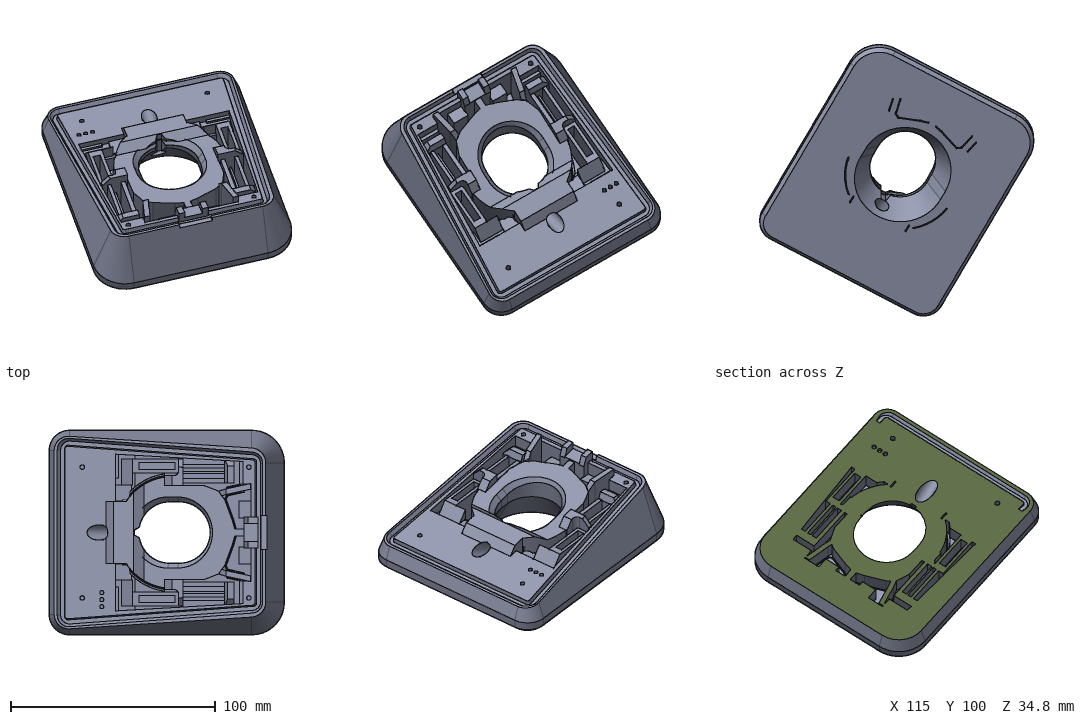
import cadquery as cq
import math

LENGTH = 115.0
WIDTH = 100.0
FRONT_CORNER_R = 10.0
REAR_CORNER_R = 16.0
SKIRT_TOP = 6.0
BASE_CHAMFER = 1.8
WALL_ANGLE = 20.0
WALL_DRAFT = math.tan(math.radians(WALL_ANGLE))
SHELL_TOP = 33.4

TILT = 10.0
SLOPE_START = 12.4
RISE = math.tan(math.radians(TILT))
COS_TILT = math.cos(math.radians(TILT))
SIN_TILT = math.sin(math.radians(TILT))

RIM_WIDTH = 1.5
RIM_CORNER_R = 5.8
GROOVE_DEPTH = 2.1
GROOVE_WALL_DRAFT = 33.0
PLATE_INSET = 4.8
PLATE_CORNER_R = 1.7
PLATE_DRAFT = 15.0

POCKET_FRONT = 32.4
POCKET_REAR = 94.8
POCKET_FRONT_HALF = 38.3
POCKET_REAR_HALF = 34.7
BAY_REAR = 98.7
BAY_HALF = 23.7
FLOOR_Z = 4.6
SHELF_Z = 13.8
SHELF_END = 42.0
SHELF_STEP_X = 33.8
SHELF_STEP_SPAN = (26.6, 38.3)
PAD_Z = 15.0
PAD_END = 40.2
PAD_SPAN = (15.3, 23.1)
CORNER_STEP_X = 93.2
CORNER_STEP_Z = 23.0
LEDGE_FRONT = 92.8
LEDGE_Z = 23.0
LEDGE_SPAN = (7.1, 15.3)
FRONT_BLOCK_X = (35.4, 40.7)
FRONT_BLOCK_SPAN = (23.1, 35.9)
FRONT_BLOCK_TOP = 20.7
FRONT_BAR_ENDS = ((40.7, 44.0), (61.4, 65.5))
FRONT_BAR_SPAN = (29.0, 35.9)
FRONT_RAIL_SPANS = ((29.0, 30.7), (34.3, 35.9))
REAR_BLOCK_X = (85.8, 90.4)
REAR_BLOCK_SPAN = (24.3, 35.3)
REAR_BLOCK_TOP = 26.5
REAR_BLOCK_CHAMFER = 2.9
REAR_BLOCK_RAMP = (3.5, 1.5)
REAR_RAIL_SPANS = ((24.3, 26.5), (31.5, 33.2))
REAR_RAIL_TOP = 23.3
LOW_RAIL_SPAN = (28.8, 29.8)
LOW_RAIL_TOP = 16.1

RING_X = 60.5
RING_R = 27.5
RING_HALF = 23.0
LUG_HEIGHT = 3.8
LUG_RUN = 3.7
NOSE_FRONT = 27.8
NOSE_TOP_END = 41.3
NOSE_END = 46.3
NOSE_HALF = 15.2
EAR_FRONT = 56.4
EAR_NECK_FRONT = 63.2
EAR_REAR = 65.5
EAR_SHOULDER = 27.8
EAR_TIP = 35.9
EAR_NECK_R = 2.3
EAR_TIP_DROP = 4.1
SPOKE_FRONT = 82.8
SPOKE_REAR = 98.3
RING_SHOULDER = (SPOKE_FRONT, 20.2)
RING_FACETS = ((75.7, RING_HALF), RING_SHOULDER, (85.8, 16.1), (89.6, 5.9))
SPOKE_PLAN = (
    RING_SHOULDER, (86.6, 21.4), (SPOKE_REAR, 23.9), (SPOKE_REAR, 21.2), (86.8, 18.6), (84.3, 17.9),
)
CLIP_FRONT = 95.3
CLIP_REAR = 102.0
CLIP_HALF = 7.5
CLIP_HEIGHT = 4.3
CLIP_RUN = 1.8
SADDLE_HALF = 4.5
SADDLE_HEIGHT = 0.7
NECK_HALF = 1.7
NECK_FRONT = 90.7

BORE_X = 61.3
MOUTH_X = 60.4
BORE_HALF_LENGTH = 17.4
BORE_HALF_WIDTH = 15.0
MOUTH_FLARE = 2.4
MOUTH_DEPTH = 3.1
BELL_TOP = 15.0
BELL_FLARE = 7.5
SLIT = 0.52
SLIT_TOP = 17.2
ARC_SLIT_FRONT = 39.5
NOSE_SLIT = ((36.2, 15.5), (ARC_SLIT_FRONT, 15.5))
SPOKE_SLIT = ((87.2, 22.0), (93.2, 23.2))
REAR_SLIT_PATH = ((95.0, 20.0), (87.3, 18.3), (86.1, 16.3), (89.9, 6.0), (91.0, 2.2))
TRENCH_R = 29.0
TRENCH_Z = 2.9
CABLE_R = 3.7
CABLE_PITCH = 30.0
CABLE_ENTRY = (24.8, 16.3)
CABLE_LENGTH = 32.2
CABLE_LEAD = 6.9
CABLE_NOTCH_X = (41.6, 44.4)
CABLE_NOTCH_HALVES = (1.2, 2.8)
SCREW_R = 1.09
SCREW_X = (16.2, 97.6)
SCREW_Y = 32.0
HOLE_DEPTH = 5.8
LED_R = 0.98
LED_X = 25.8
LED_Y = (-29.3, -32.8, -36.2)
NOTCH_HALF = 8.3
NOTCH_DEPTH = 1.7


def slope_z(x, above=0.0):
    """Height of the sloping face at x, raised by a distance normal to the face."""
    return SLOPE_START + x * RISE + above / COS_TILT


def tilted(above=0.0):
    """Workplane on the sloping face; its x axis climbs the slope."""
    origin = (-above * SIN_TILT, 0, SLOPE_START + above * COS_TILT)
    plane = cq.Plane(origin=origin, xDir=(COS_TILT, 0, SIN_TILT), normal=(-SIN_TILT, 0, COS_TILT))
    return cq.Workplane(plane)


def box(x_range, y_range, z_range):
    """Box between the given limits."""
    size = [b - a for a, b in (x_range, y_range, z_range)]
    return cq.Workplane("XY").box(*size, centered=False).translate((x_range[0], y_range[0], z_range[0]))


def both_sides(solid):
    """The solid together with its mirror image across Y = 0."""
    return solid.union(solid.mirror("XZ"))


def side_profile(points, half):
    """Prism of an XZ outline, running from -half to half along Y."""
    return cq.Workplane("XZ").polyline(points).close().extrude(half, both=True)


def upright(points, bottom, top):
    """Vertical prism of a plan outline."""
    return cq.Workplane("XY", origin=(0, 0, bottom)).polyline(points).close().extrude(top - bottom)


def below_slope(above=0.0):
    """Everything below the sloping face raised by `above`."""
    points = [(0, 0), (LENGTH, 0), (LENGTH, slope_z(LENGTH, above)), (0, slope_z(0, above))]
    return side_profile(points, WIDTH)


def lug_profile(front, rear, height, run):
    """Lug outline: ramp of length `run` up from the slope, top parallel to it, upright back."""
    points = [
        (front, FLOOR_Z),
        (front, slope_z(front)),
        (front + run, slope_z(front + run, height)),
        (rear, slope_z(rear, height)),
        (rear, FLOOR_Z),
    ]
    return side_profile(points, WIDTH / 2)


def make_shell():
    """Rounded base with a chamfered foot and drafted walls, cut off along the slope."""
    skirt = cq.Workplane("XY").rect(LENGTH, WIDTH).extrude(SKIRT_TOP).translate((LENGTH / 2, 0, 0))
    skirt = skirt.edges("|Z and <X").fillet(FRONT_CORNER_R).edges("|Z and >X").fillet(REAR_CORNER_R)
    rise = SHELL_TOP - SKIRT_TOP
    wall = skirt.faces(">Z").wires().toPending().extrude(rise, taper=WALL_ANGLE, combine=False)
    skirt = skirt.faces("<Z").chamfer(BASE_CHAMFER)
    return skirt.union(wall).intersect(below_slope())


def slope_outline(inset, radius, above=0.0):
    """Outline of the sloping face moved inwards, with corners rounded, as a pending wire."""
    def crossing(end_x, direction):
        """X and half width where the drafted end wall meets the slope."""
        lift = (slope_z(end_x) - SKIRT_TOP) / (1 - direction * RISE * WALL_DRAFT)
        return end_x + direction * lift * WALL_DRAFT, WIDTH / 2 - lift * WALL_DRAFT

    front_x, front_half = crossing(0, 1)
    rear_x, rear_half = crossing(LENGTH, -1)
    shrink = inset + radius
    front_u = front_x / COS_TILT + shrink
    rear_u = rear_x / COS_TILT - shrink
    front_half -= shrink
    rear_half -= shrink
    points = [(front_u, -front_half), (rear_u, -rear_half), (rear_u, rear_half), (front_u, front_half)]
    return tilted(above).polyline(points).close().offset2D(radius)


def cut_rim(body):
    """Sink the slope inside the rim, leaving the plate standing in a shallow groove."""
    recess = slope_outline(RIM_WIDTH, RIM_CORNER_R).extrude(-GROOVE_DEPTH, taper=GROOVE_WALL_DRAFT)
    plate = slope_outline(PLATE_INSET, PLATE_CORNER_R, -GROOVE_DEPTH).extrude(GROOVE_DEPTH, taper=PLATE_DRAFT)
    return body.cut(recess).union(plate)


def cut_pocket(body):
    """Deep pocket with a stepped shelf along its front and a narrower bay at the rear."""
    plan = [
        (POCKET_FRONT, -POCKET_FRONT_HALF), (POCKET_REAR, -POCKET_REAR_HALF),
        (POCKET_REAR, POCKET_REAR_HALF), (POCKET_FRONT, POCKET_FRONT_HALF),
    ]
    pocket = upright(plan, FLOOR_Z, SHELL_TOP)
    pocket = pocket.union(box((POCKET_FRONT, BAY_REAR), (-BAY_HALF, BAY_HALF), (FLOOR_Z, SHELL_TOP)))
    shelf = box((POCKET_FRONT, SHELF_END), (-POCKET_FRONT_HALF, POCKET_FRONT_HALF), (FLOOR_Z, SHELF_Z))
    step = box((POCKET_FRONT, SHELF_STEP_X), SHELF_STEP_SPAN, (FLOOR_Z, PAD_Z))
    pad = box((POCKET_FRONT, PAD_END), PAD_SPAN, (FLOOR_Z, PAD_Z))
    ledge = box((LEDGE_FRONT, BAY_REAR), LEDGE_SPAN, (FLOOR_Z, LEDGE_Z))
    corner = box((CORNER_STEP_X, POCKET_REAR), (BAY_HALF, POCKET_FRONT_HALF), (FLOOR_Z, CORNER_STEP_Z))
    pocket = pocket.cut(shelf)
    for raised_step in (step, pad, ledge, corner):
        pocket = pocket.cut(both_sides(raised_step))
    return body.cut(pocket)


def make_rails():
    """Front and rear blocks with the level rails that run from them to the ears."""
    front, back = FRONT_BLOCK_X
    ramp = [(front, SHELF_Z), (back, FRONT_BLOCK_TOP), (back, FLOOR_Z), (front, FLOOR_Z)]
    rails = side_profile(ramp, WIDTH / 2).intersect(
        box(FRONT_BLOCK_X, FRONT_BLOCK_SPAN, (FLOOR_Z, FRONT_BLOCK_TOP)))
    rear_block = box(REAR_BLOCK_X, REAR_BLOCK_SPAN, (FLOOR_Z, REAR_BLOCK_TOP))
    rear_block = rear_block.edges(">Y and >Z").chamfer(REAR_BLOCK_CHAMFER)
    ramp_drop, ramp_run = REAR_BLOCK_RAMP
    ramp_x = REAR_BLOCK_X[0]
    ramp_cut = [
        (ramp_x, REAR_BLOCK_TOP - ramp_drop),
        (ramp_x + ramp_run, REAR_BLOCK_TOP),
        (ramp_x, REAR_BLOCK_TOP),
    ]
    rails = rails.union(rear_block.cut(side_profile(ramp_cut, WIDTH / 2)))
    for span in FRONT_RAIL_SPANS:
        rails = rails.union(box((back, EAR_REAR), span, (FLOOR_Z, FRONT_BLOCK_TOP)))
    for ends in FRONT_BAR_ENDS:
        rails = rails.union(box(ends, FRONT_BAR_SPAN, (FLOOR_Z, FRONT_BLOCK_TOP)))
    rails = rails.union(box((EAR_REAR, REAR_BLOCK_X[0]), LOW_RAIL_SPAN, (FLOOR_Z, LOW_RAIL_TOP)))
    for span in REAR_RAIL_SPANS:
        rails = rails.union(box((EAR_REAR, REAR_BLOCK_X[0]), span, (FLOOR_Z, REAR_RAIL_TOP)))
    return both_sides(rails)


def make_ring():
    """Flat ring, level with the rim, with straight flanks and a faceted rear ending in a neck."""
    disc = cq.Workplane("XY", origin=(RING_X, 0, FLOOR_Z)).circle(RING_R).extrude(SHELL_TOP)
    front = disc.intersect(box((0, EAR_FRONT + LUG_RUN), (-WIDTH, WIDTH), (0, SHELL_TOP)))
    rear_half = [
        (EAR_FRONT, 0), (EAR_FRONT, RING_HALF), *RING_FACETS,
        (NECK_FRONT, NECK_HALF), (CLIP_FRONT, NECK_HALF), (CLIP_FRONT, 0),
    ]
    rear = both_sides(upright(rear_half, FLOOR_Z, SHELL_TOP))
    return front.union(rear).intersect(below_slope())


def make_nose():
    """Wide raised block at the front of the ring, ramped at both ends."""
    points = [
        (NOSE_FRONT, FLOOR_Z),
        (NOSE_FRONT, slope_z(NOSE_FRONT)),
        (NOSE_FRONT + LUG_RUN, slope_z(NOSE_FRONT + LUG_RUN, LUG_HEIGHT)),
        (NOSE_TOP_END, slope_z(NOSE_TOP_END, LUG_HEIGHT)),
        (NOSE_END, slope_z(NOSE_END)),
        (NOSE_END, FLOOR_Z),
    ]
    nose = side_profile(points, NOSE_HALF)
    flank = side_profile(points, RING_R).intersect(
        cq.Workplane("XY", origin=(RING_X, 0, 0)).circle(RING_R).extrude(SHELL_TOP))
    return nose.union(flank)


def make_ears():
    """Side lugs that narrow to a tip sloping down towards the pocket wall."""
    shoulder_x = EAR_NECK_FRONT - EAR_NECK_R
    arc_y = EAR_SHOULDER + EAR_NECK_R
    arc_offset = EAR_NECK_R * math.sqrt(0.5)
    plan = cq.Workplane("XY", origin=(0, 0, FLOOR_Z)).moveTo(EAR_FRONT, RING_HALF)
    plan = plan.lineTo(EAR_REAR, RING_HALF).lineTo(EAR_REAR, EAR_TIP).lineTo(EAR_NECK_FRONT, EAR_TIP)
    plan = plan.lineTo(EAR_NECK_FRONT, arc_y)
    plan = plan.threePointArc((shoulder_x + arc_offset, arc_y - arc_offset), (shoulder_x, EAR_SHOULDER))
    ear = plan.lineTo(EAR_FRONT, EAR_SHOULDER).close().extrude(SHELL_TOP)
    ear = ear.intersect(lug_profile(EAR_FRONT, EAR_REAR, LUG_HEIGHT, LUG_RUN))
    tip_z = slope_z(EAR_REAR, LUG_HEIGHT)
    tip_cut = [(EAR_TIP - EAR_TIP_DROP, tip_z), (EAR_TIP, tip_z - EAR_TIP_DROP), (EAR_TIP, tip_z)]
    wedge = cq.Workplane("YZ").polyline(tip_cut).close().extrude(LENGTH)
    return both_sides(ear.cut(wedge))


def make_spokes():
    """Two slanted lugs running from the ring to the rear corners of the bay."""
    spoke = upright(SPOKE_PLAN, FLOOR_Z, SHELL_TOP + LUG_HEIGHT)
    return both_sides(spoke.intersect(lug_profile(SPOKE_FRONT, SPOKE_REAR, LUG_HEIGHT, LUG_RUN)))


def make_clip():
    """Rear catch: two horns beside a low saddle."""
    band = box((0, LENGTH), (-CLIP_HALF, CLIP_HALF), (0, LENGTH))
    gap = box((0, LENGTH), (-SADDLE_HALF, SADDLE_HALF), (0, LENGTH))
    horns = lug_profile(CLIP_FRONT, CLIP_REAR, CLIP_HEIGHT, CLIP_RUN).intersect(band.cut(gap))
    saddle = lug_profile(CLIP_FRONT, CLIP_REAR, SADDLE_HEIGHT, 0).intersect(gap)
    return horns.union(saddle)


def slit_between(start, end):
    """Narrow vertical slit through the floor between two plan points."""
    dx, dy = end[0] - start[0], end[1] - start[1]
    slit = cq.Workplane("XY").box(math.hypot(dx, dy) + SLIT, SLIT, 2 * SLIT_TOP)
    angle = math.degrees(math.atan2(dy, dx))
    middle = ((start[0] + end[0]) / 2, (start[1] + end[1]) / 2, 0)
    return slit.rotate((0, 0, 0), (0, 0, 1), angle).translate(middle)


def make_slits():
    """Clearance slits around the ring, spokes and neck, with a trench beside the front arcs."""
    def arc_band(outer, bottom):
        ring = cq.Workplane("XY", origin=(RING_X, 0, bottom)).circle(outer).circle(RING_R)
        return ring.extrude(SLIT_TOP - bottom).intersect(
            box((ARC_SLIT_FRONT, EAR_FRONT), (NOSE_HALF, WIDTH), (bottom, SLIT_TOP)))

    slits = arc_band(RING_R + SLIT, 0).union(arc_band(TRENCH_R, TRENCH_Z))
    for start, end in zip(REAR_SLIT_PATH, REAR_SLIT_PATH[1:]):
        slits = slits.union(slit_between(start, end))
    for start, end in (NOSE_SLIT, SPOKE_SLIT):
        slits = slits.union(slit_between(start, end))
    return both_sides(slits)


def make_bore():
    """Oblong through bore, flared at both ends, with a notched cable hole leading into it."""
    through = cq.Workplane("XY").center(BORE_X, 0).slot2D(2 * BORE_HALF_LENGTH, 2 * BORE_HALF_WIDTH)
    through = through.extrude(SHELL_TOP)
    mouth_half_length = BORE_HALF_LENGTH + MOUTH_FLARE
    mouth_half_width = BORE_HALF_WIDTH + MOUTH_FLARE
    mouth = tilted().center(MOUTH_X / COS_TILT, 0).slot2D(2 * mouth_half_length, 2 * mouth_half_width)
    flare_angle = math.degrees(math.atan(MOUTH_FLARE / MOUTH_DEPTH))
    mouth = mouth.extrude(-MOUTH_DEPTH, taper=flare_angle)
    bell = cq.Workplane("XY", origin=(BORE_X, 0, BELL_TOP)).slot2D(2 * BORE_HALF_LENGTH, 2 * BORE_HALF_WIDTH)
    bell = bell.extrude(-BELL_TOP, taper=-math.degrees(math.atan(BELL_FLARE / BELL_TOP)))
    pitch = math.radians(CABLE_PITCH)
    direction = cq.Vector(math.cos(pitch), 0, -math.sin(pitch))
    entry = cq.Vector(CABLE_ENTRY[0], 0, CABLE_ENTRY[1]) - direction * CABLE_LEAD
    cable = cq.Workplane(cq.Solid.makeCylinder(CABLE_R, CABLE_LENGTH, entry, direction))
    (tip_x, root_x), (tip_half, root_half) = CABLE_NOTCH_X, CABLE_NOTCH_HALVES
    notch_plan = [(tip_x, -tip_half), (root_x, -root_half), (root_x, root_half), (tip_x, tip_half)]
    notch = upright(notch_plan, 0, SHELL_TOP)
    return through.union(mouth).union(bell).union(cable).union(notch)


def make_small_holes():
    """Screw holes near the four plate corners and a row of three light holes."""
    def drill(x, y, radius):
        bottom = cq.Workplane("XY", origin=(x, y, slope_z(x) - HOLE_DEPTH))
        return bottom.circle(radius).extrude(2 * HOLE_DEPTH)

    places = [(x, y, SCREW_R) for x in SCREW_X for y in (-SCREW_Y, SCREW_Y)]
    places += [(LED_X, y, LED_R) for y in LED_Y]
    holes = drill(*places[0])
    for place in places[1:]:
        holes = holes.union(drill(*place))
    return holes


def make_rim_notch():
    """Gap in the rear rim behind the clip."""
    gap = box((CLIP_REAR, LENGTH), (-NOTCH_HALF, NOTCH_HALF), (0, LENGTH))
    return gap.cut(below_slope(-NOTCH_DEPTH))


body = cut_pocket(cut_rim(make_shell()))
for raised in (make_rails(), make_ring(), make_nose(), make_ears(), make_spokes(), make_clip()):
    body = body.union(raised)
for removed in (make_slits(), make_bore(), make_small_holes(), make_rim_notch()):
    body = body.cut(removed)
result = body